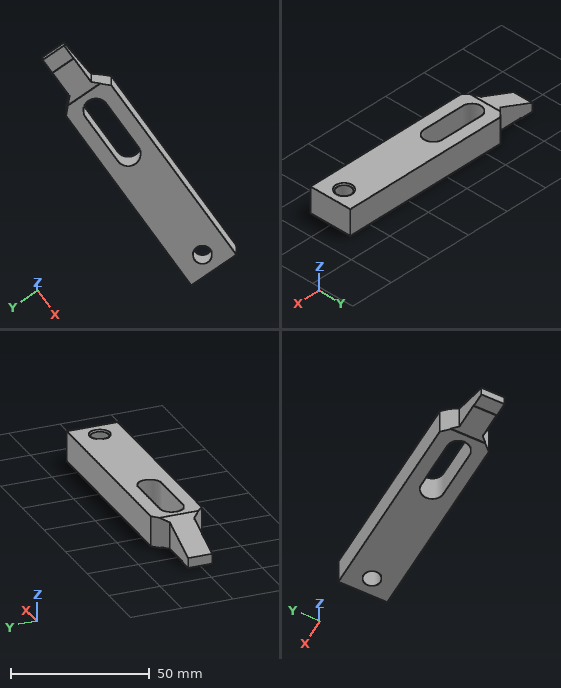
import cadquery as cq

length = 100.0
width = 20.0
height = 12.0

nose_width = 9.5
nose_tip_height = 4.0
slope_end = 19.7
shoulder_end = 22.1
shoulder_start = shoulder_end - (width - nose_width) / 2

pad_length = 6.0
relief_end = 19.2
relief_depth = 0.3

slot_start = 22.1
slot_length = 29.0
slot_width = 9.0

hole_diameter = 6.8
hole_mouth_diameter = 8.0
hole_rear_distance = 7.1
hole_chamfer = (hole_mouth_diameter - hole_diameter) / 2


def side_profile():
    """Full-width bar with the sloped nose and the underside relief."""
    points = [
        (0, 0),
        (pad_length, 0),
        (pad_length, relief_depth),
        (relief_end, relief_depth),
        (relief_end, 0),
        (length, 0),
        (length, height),
        (slope_end, height),
        (0, nose_tip_height),
    ]
    return cq.Workplane("XZ").polyline(points).close().extrude(width / 2, both=True)


def plan_profile():
    """Plan outline that narrows to the nose."""
    half_outline = [
        (0, nose_width / 2),
        (shoulder_start, nose_width / 2),
        (shoulder_end, width / 2),
        (length, width / 2),
    ]
    mirrored = [(x, -y) for x, y in reversed(half_outline)]
    return cq.Workplane("XY").polyline(half_outline + mirrored).close().extrude(height)


def slot():
    """Through slot with round ends."""
    return (
        cq.Workplane("XY")
        .center(slot_start + slot_length / 2, 0)
        .slot2D(slot_length, slot_width)
        .extrude(height)
    )


def screw_hole():
    """Through hole with a 45 degree chamfer at its upper mouth."""
    bore = (
        cq.Workplane("XY")
        .center(length - hole_rear_distance, 0)
        .circle(hole_diameter / 2)
        .extrude(height)
    )
    mouth = (
        cq.Workplane("XY", origin=(length - hole_rear_distance, 0, height))
        .circle(hole_mouth_diameter / 2)
        .extrude(-hole_chamfer, taper=45)
    )
    return bore.union(mouth)


result = side_profile().intersect(plan_profile()).cut(slot()).cut(screw_hole())